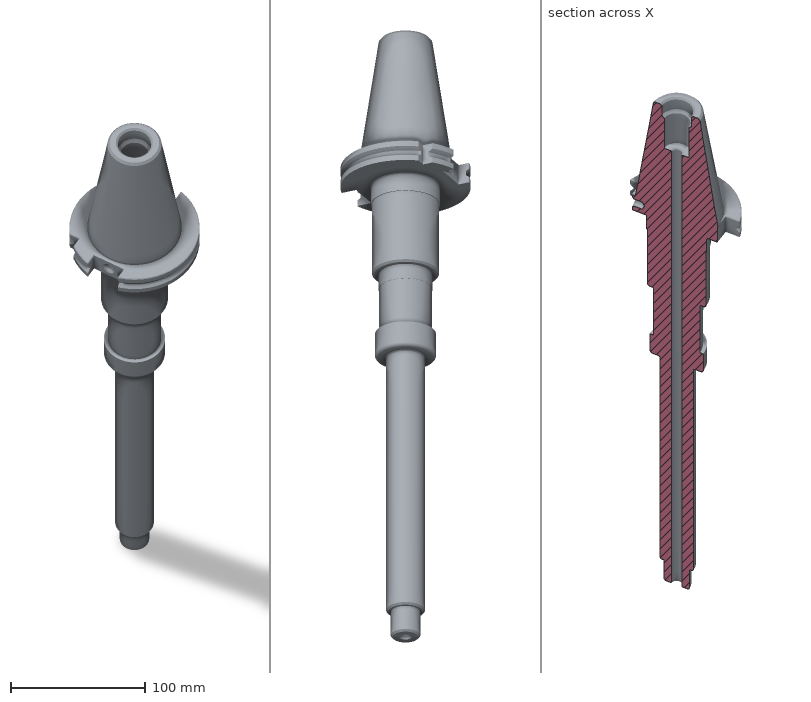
import cadquery as cq

total_height = 491.0
taper_bottom_z = 388.0
flange_top_z = 386.5
groove_z = 378.0
flange_bottom_z = 370.5
shoulder_bottom_z = 356.0
sleeve_bottom_z = 298.0
neck_step_z = 286.5
collar_top_z = 249.5
collar_bottom_z = 230.0
tip_top_z = 20.5

taper_top_diameter = 40.5
taper_rate = 7 / 24
flange_diameter = 97.0
shoulder_diameter = 51.5
sleeve_diameter = 50.0
upper_neck_diameter = 40.5
neck_diameter = 40.0
collar_diameter = 45.5
shank_diameter = 29.0
tip_diameter = 22.0
taper_bottom_diameter = taper_top_diameter + taper_rate * (total_height - taper_bottom_z)

taper_chamfer_width = 1.7
taper_chamfer_height = 2.0
body_chamfer = 1.5
flange_chamfer = 0.6
root_bevel = 0.75
collar_round = 2.5

groove_mouth = 7.5
groove_floor = 3.0
groove_depth = 3.0

slot_width = 25.5
front_slot_floor_y = -38.0
back_slot_floor_y = 35.0
notch_x = -30.5
notch_y = -30.0

chip_hole_z = 378.5
chip_hole_diameter = 7.0
chip_hole_mouth_diameter = 10.0
chip_hole_depth = 8.5
chip_hole_point = 2.0

bore_mouth_diameter = 28.0
counterbore_diameter = 25.0
counterbore_depth = 11.5
thread_diameter = 20.5
thread_depth = 44.0
coolant_mouth_diameter = 10.5
coolant_diameter = 8.5
bore_mouth_height = (bore_mouth_diameter - counterbore_diameter) / 2
counterbore_cone_height = (counterbore_diameter - thread_diameter) / 2
coolant_chamfer = (coolant_mouth_diameter - coolant_diameter) / 2

tolerance = 0.05


def revolve_profile(points):
    """Turn (diameter, z) points about the Z axis; the profile closes along the axis."""
    outline = [(diameter / 2, z) for diameter, z in points]
    axis_ends = [(0, points[-1][1]), (0, points[0][1])]
    profile = cq.Workplane("XZ").polyline(outline + axis_ends).close()
    return profile.revolve(360, (0, 0, 0), (0, 1, 0))


def turned_body():
    body = revolve_profile([
        (tip_diameter - 2 * body_chamfer, 0),
        (tip_diameter, body_chamfer),
        (tip_diameter, tip_top_z),
        (shank_diameter - 2 * body_chamfer, tip_top_z),
        (shank_diameter, tip_top_z + body_chamfer),
        (shank_diameter, collar_bottom_z - root_bevel),
        (shank_diameter + 2 * root_bevel, collar_bottom_z),
        (collar_diameter, collar_bottom_z),
        (collar_diameter, collar_top_z),
        (neck_diameter, collar_top_z),
        (neck_diameter, neck_step_z),
        (upper_neck_diameter, neck_step_z),
        (upper_neck_diameter, sleeve_bottom_z),
        (sleeve_diameter - 2 * body_chamfer, sleeve_bottom_z),
        (sleeve_diameter, sleeve_bottom_z + body_chamfer),
        (sleeve_diameter, shoulder_bottom_z),
        (shoulder_diameter, shoulder_bottom_z),
        (shoulder_diameter, flange_bottom_z - root_bevel),
        (shoulder_diameter + 2 * root_bevel, flange_bottom_z),
        (shoulder_diameter + 2 * root_bevel, flange_top_z),
        (taper_bottom_diameter, flange_top_z),
        (taper_bottom_diameter, taper_bottom_z),
        (taper_top_diameter, total_height - taper_chamfer_height),
        (taper_top_diameter - 2 * taper_chamfer_width, total_height),
    ])
    circles = body.edges("%CIRCLE").vals()
    lower_circles = [e for e in circles if abs(e.Center().z - collar_bottom_z) < tolerance]
    lower_rim = max(lower_circles, key=lambda edge: edge.radius())
    return body.newObject([lower_rim]).fillet(collar_round)


def flange_cutter(x_min, x_max, y_min, y_max):
    height = flange_top_z - flange_bottom_z
    block = cq.Workplane("XY").box(x_max - x_min, y_max - y_min, height, centered=False)
    return block.translate((x_min, y_min, flange_bottom_z))


def is_on_slot_floor(edge):
    """True for an edge that crosses the middle of a slot, along its floor."""
    return abs(edge.Center().x) < tolerance


def is_slot_corner(edge):
    """True for an upright edge where a slot side meets the rim."""
    position = edge.Center()
    beyond_floors = abs(position.y) > abs(front_slot_floor_y) + tolerance
    return abs(position.x) < slot_width and beyond_floors


def gripper_groove():
    radius = flange_diameter / 2
    section = [
        (radius, groove_z - groove_mouth / 2),
        (radius - groove_depth, groove_z - groove_floor / 2),
        (radius - groove_depth, groove_z + groove_floor / 2),
        (radius, groove_z + groove_mouth / 2),
    ]
    return cq.Workplane("XZ").polyline(section).close().revolve(360, (0, 0, 0), (0, 1, 0))


def flange():
    radius = flange_diameter / 2
    half_slot = slot_width / 2
    disc = cq.Workplane("XY", origin=(0, 0, flange_bottom_z)).circle(radius)
    disc = disc.extrude(flange_top_z - flange_bottom_z)
    disc = disc.cut(flange_cutter(-half_slot, half_slot, -radius, front_slot_floor_y))
    disc = disc.cut(flange_cutter(-half_slot, half_slot, back_slot_floor_y, radius))
    disc = disc.cut(flange_cutter(-radius, notch_x, -radius, notch_y))

    top_edges = disc.faces(">Z").edges().vals()
    upright_edges = disc.edges("|Z").vals()
    rim_edges = [e for e in top_edges if not is_on_slot_floor(e)]
    slot_corners = [e for e in upright_edges if is_slot_corner(e)]
    disc = disc.newObject(rim_edges + slot_corners).chamfer(flange_chamfer)
    return disc.cut(gripper_groove())


def chip_hole():
    countersink = (chip_hole_mouth_diameter - chip_hole_diameter) / 2
    hole = revolve_profile([
        (0, -chip_hole_depth - chip_hole_point),
        (chip_hole_diameter, -chip_hole_depth),
        (chip_hole_diameter, -countersink),
        (chip_hole_mouth_diameter, 0),
    ])
    return hole.rotate((0, 0, 0), (1, 0, 0), 90).translate((0, front_slot_floor_y, chip_hole_z))


def axial_bore():
    thread_bottom_z = total_height - thread_depth
    counterbore_bottom_z = total_height - counterbore_depth
    return revolve_profile([
        (coolant_diameter, 0),
        (coolant_diameter, thread_bottom_z - coolant_chamfer),
        (coolant_mouth_diameter, thread_bottom_z),
        (thread_diameter, thread_bottom_z),
        (thread_diameter, counterbore_bottom_z - counterbore_cone_height),
        (counterbore_diameter, counterbore_bottom_z),
        (counterbore_diameter, total_height - bore_mouth_height),
        (bore_mouth_diameter, total_height),
    ])


result = turned_body().union(flange()).cut(chip_hole()).cut(axial_bore())